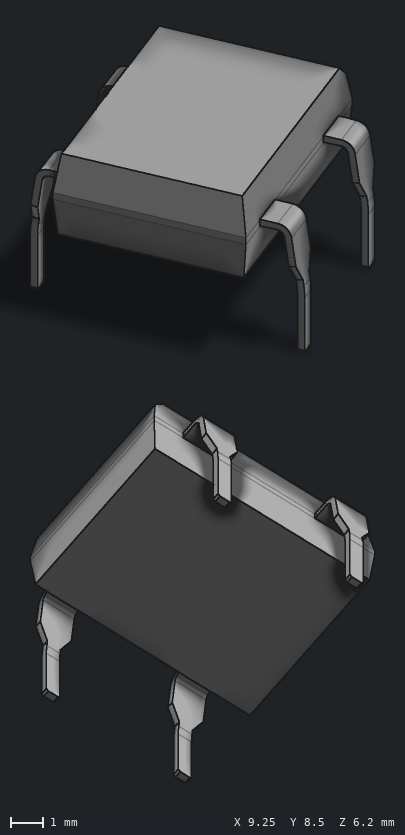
import cadquery as cq
import math


body_width = 6.51
body_length = 8.5
upper_height = 1.37
lower_height = 1.36
upper_inset = 0.21
lower_inset = 0.12
edge_bevel_run = 0.52
edge_bevel_drop = 0.41

lead_span = 9.25
lead_pitch = 5.08
lead_thickness = 0.25
lead_drop = 4.83
lead_wide = 1.2
lead_narrow = 0.52
lead_overlap = 0.28
splay_angle = 8
shoulder_radius = 0.48
knee_radius = 3.145
tail_length = 2.05
neck_start_depth = 1.46
neck_end_depth = 2.14
tip_bevel = 0.07

splay = math.radians(splay_angle)


def frustum(base_z, height, inset):
    """Tapered block from the full body outline to an inset one; negative height points down."""
    return (
        cq.Workplane("XY", origin=(0, 0, base_z))
        .rect(body_width, body_length)
        .workplane(offset=height)
        .rect(body_width - 2 * inset, body_length - 2 * inset)
        .loft(ruled=True)
    )


def make_body():
    """Two drafted halves around a straight band, with one bevelled top edge on the +Y side."""
    band = (
        cq.Workplane("XY", origin=(0, 0, -lead_thickness))
        .rect(body_width, body_length)
        .extrude(lead_thickness)
    )
    upper = frustum(0, upper_height, upper_inset)
    lower = frustum(-lead_thickness, -lower_height, lower_inset)

    edge_y = body_length / 2
    bevel_base_z = upper_height - edge_bevel_drop
    bevel_base_y = edge_y - upper_inset * bevel_base_z / upper_height
    bevel_top_y = edge_y - edge_bevel_run
    bevel_slope = edge_bevel_drop / (bevel_base_y - bevel_top_y)
    bevel_outer_z = upper_height - bevel_slope * edge_bevel_run
    bevel = (
        cq.Workplane("YZ")
        .polyline([(bevel_top_y, upper_height), (edge_y, upper_height), (edge_y, bevel_outer_z)])
        .close()
        .extrude(body_width / 2, both=True)
    )
    return band.union(upper).union(lower).cut(bevel)


def make_lead():
    """One lead on the +X side, centred on Y = 0."""
    outer_x = lead_span / 2
    knee_z = -lead_drop + tail_length
    knee_center_x = outer_x - knee_radius

    knee_top_x = knee_center_x + knee_radius * math.cos(splay)
    knee_top_z = knee_z + knee_radius * math.sin(splay)
    shoulder_center_z = -shoulder_radius
    shoulder_end_z = shoulder_center_z + shoulder_radius * math.sin(splay)
    shoulder_end_x = knee_top_x - (shoulder_end_z - knee_top_z) * math.tan(splay)
    shoulder_center_x = shoulder_end_x - shoulder_radius * math.cos(splay)

    def on_shoulder(radius, angle):
        return (
            shoulder_center_x + radius * math.cos(angle),
            shoulder_center_z + radius * math.sin(angle),
        )

    def on_knee(radius, angle):
        return (knee_center_x + radius * math.cos(angle), knee_z + radius * math.sin(angle))

    shoulder_mid = (splay + math.pi / 2) / 2
    shoulder_inner = shoulder_radius - lead_thickness
    knee_inner = knee_radius - lead_thickness
    root_x = body_width / 2 - lead_overlap

    strip = (
        cq.Workplane("XZ")
        .moveTo(root_x, 0)
        .lineTo(shoulder_center_x, 0)
        .threePointArc(on_shoulder(shoulder_radius, shoulder_mid), on_shoulder(shoulder_radius, splay))
        .lineTo(*on_knee(knee_radius, splay))
        .threePointArc(on_knee(knee_radius, splay / 2), on_knee(knee_radius, 0))
        .lineTo(outer_x, -lead_drop)
        .lineTo(outer_x - lead_thickness, -lead_drop)
        .lineTo(*on_knee(knee_inner, 0))
        .threePointArc(on_knee(knee_inner, splay / 2), on_knee(knee_inner, splay))
        .lineTo(*on_shoulder(shoulder_inner, splay))
        .threePointArc(on_shoulder(shoulder_inner, shoulder_mid), (shoulder_center_x, -shoulder_inner))
        .lineTo(root_x, -lead_thickness)
        .close()
        .extrude(lead_wide / 2, both=True)
    )

    leg_plane = cq.Plane(
        origin=(shoulder_end_x, 0, shoulder_end_z),
        xDir=(0, 1, 0),
        normal=(math.cos(splay), 0, math.sin(splay)),
    )
    neck_start = -(neck_start_depth + shoulder_end_z) / math.cos(splay)
    neck_end = -(neck_end_depth + shoulder_end_z) / math.cos(splay)
    outline_reach = 2 * lead_drop
    half_wide = lead_wide / 2
    half_narrow = lead_narrow / 2
    width_outline = (
        cq.Workplane(leg_plane)
        .moveTo(-half_wide, outline_reach)
        .lineTo(half_wide, outline_reach)
        .lineTo(half_wide, neck_start)
        .lineTo(half_narrow, neck_end)
        .lineTo(half_narrow, -outline_reach)
        .lineTo(-half_narrow, -outline_reach)
        .lineTo(-half_narrow, neck_end)
        .lineTo(-half_wide, neck_start)
        .close()
        .extrude(lead_span, both=True)
    )
    lead = strip.intersect(width_outline)
    return lead.faces("<Z").edges("|X").chamfer(tip_bevel)


result = make_body()
right_lead = make_lead()
left_lead = right_lead.mirror("YZ")
for lead_y in (-lead_pitch / 2, lead_pitch / 2):
    for lead in (left_lead, right_lead):
        result = result.union(lead.translate((0, lead_y, 0)))